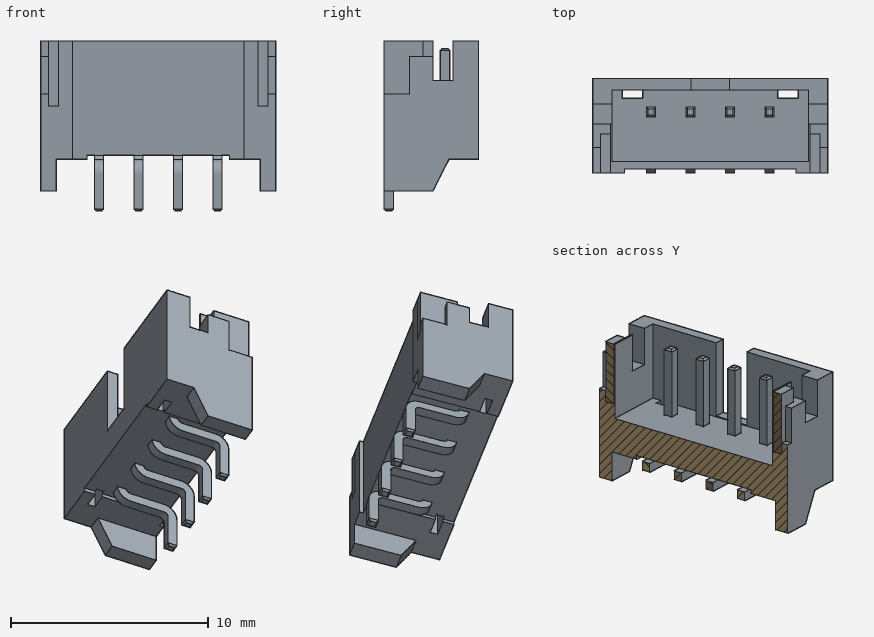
import cadquery as cq


LENGTH = 11.9
DEPTH = 4.8
LEG_HEIGHT = 1.6
BODY_HEIGHT = 6.01
TOP_Z = LEG_HEIGHT + BODY_HEIGHT

END_WALL = 0.99
SIDE_WALL = 0.6
CAVITY_DEPTH = 4.09
CAVITY_LENGTH = LENGTH - 2 * END_WALL
FLOOR_Z = TOP_Z - CAVITY_DEPTH

END_SLOT_SETBACK = 1.3
END_SLOT_WIDTH = 1.01
END_SLOT_DEPTH = 2.0
BACK_NOTCH_WIDTH = 1.93
BACK_NOTCH_DEPTH = 4.05
FRONT_RECESS_WIDTH = 8.68
FRONT_RECESS_DEPTH = 0.2
UNDERSIDE_GROOVE_WIDTH = 7.19
UNDERSIDE_GROOVE_DEPTH = 0.2

WINDOW_LENGTH = 1.02
WINDOW_WIDTH = 0.4
WINDOW_SPACING = 7.88

LEG_THICKNESS = 0.8
LEG_TOP_SETBACK = 1.51
LEG_BOTTOM_SETBACK = 2.31

TAB_INSET = 0.39
TAB_THICKNESS = 0.51
TAB_WIDTH = 1.98
TAB_HEIGHT = 3.3
LOW_STEP_WIDTH = 1.3
LOW_STEP_DEPTH = 2.7
HIGH_STEP_DEPTH = 0.79

PIN_COUNT = 4
PIN_PITCH = 2.0
PIN_WIDTH = 0.48
PIN_THICKNESS = 0.5
PIN_SETBACK = 1.7
PIN_TIP_DROP = 0.4
PIN_TAIL_DROP = 1.0
PIN_BEND_RADIUS = 0.75
PIN_END_CHAMFER = 0.1

CAVITY_BACK_Y = DEPTH - SIDE_WALL
END_SLOT_FRONT_Y = DEPTH - END_SLOT_SETBACK - END_SLOT_WIDTH
GROOVE_Z = LEG_HEIGHT + UNDERSIDE_GROOVE_DEPTH
PIN_BACK_Y = DEPTH - PIN_SETBACK + PIN_THICKNESS / 2


def block(x_range, y_range, z_range):
    """Box between pairs of X, Y and Z limits."""
    x0, x1 = x_range
    y0, y1 = y_range
    z0, z1 = z_range
    return cq.Workplane("XY").box(x1 - x0, y1 - y0, z1 - z0, centered=False).translate((x0, y0, z0))


def centred_block(length, y_range, z_range):
    """Box symmetric about the middle of the connector."""
    return block((-length / 2, length / 2), y_range, z_range)


def both_ends(left_shape):
    """The left-end shape together with its mirror image at the right end."""
    return left_shape, left_shape.mirror("YZ")


def inset_block(inset, thickness, y_range, z_range):
    """Box at the left end, starting a given distance in from the end face."""
    left = -LENGTH / 2 + inset
    return block((left, left + thickness), y_range, z_range)


def make_leg():
    """Left leg: a plate with a sloping back edge."""
    outline = [
        (0, 0),
        (DEPTH - LEG_BOTTOM_SETBACK, 0),
        (DEPTH - LEG_TOP_SETBACK, LEG_HEIGHT),
        (0, LEG_HEIGHT),
    ]
    leg = cq.Workplane("YZ").polyline(outline).close().extrude(LEG_THICKNESS)
    return leg.translate((-LENGTH / 2, 0, 0))


def make_tab():
    """Left tab: a flat plate standing in the end wall, flush with the front and the top."""
    return inset_block(TAB_INSET, TAB_THICKNESS, (0, TAB_WIDTH), (TOP_Z - TAB_HEIGHT, TOP_Z))


def make_tab_relief():
    """Material missing outside and behind the left tab, in two steps."""
    high_z = TOP_Z - HIGH_STEP_DEPTH
    low_z = TOP_Z - LOW_STEP_DEPTH
    behind_tab = inset_block(0, TAB_INSET + TAB_THICKNESS, (TAB_WIDTH, END_SLOT_FRONT_Y), (high_z, TOP_Z))
    high_step = inset_block(0, TAB_INSET, (0, TAB_WIDTH), (high_z, TOP_Z))
    low_step = inset_block(0, TAB_INSET, (0, LOW_STEP_WIDTH), (low_z, TOP_Z))
    return behind_tab.union(high_step).union(low_step)


def make_pin(x):
    """Bent pin: upright contact, run towards the front under the housing, then a tail going down."""
    tip_z = TOP_Z - PIN_TIP_DROP
    front_y = PIN_BACK_Y - PIN_THICKNESS
    run_top_z = LEG_HEIGHT
    run_bottom_z = run_top_z - PIN_THICKNESS
    outer = PIN_BEND_RADIUS
    inner = PIN_BEND_RADIUS - PIN_THICKNESS
    pin = (
        cq.Workplane("YZ")
        .moveTo(PIN_BACK_Y, tip_z)
        .lineTo(PIN_BACK_Y, run_bottom_z + outer)
        .radiusArc((PIN_BACK_Y - outer, run_bottom_z), outer)
        .lineTo(PIN_THICKNESS + inner, run_bottom_z)
        .radiusArc((PIN_THICKNESS, run_bottom_z - inner), -inner)
        .lineTo(PIN_THICKNESS, -PIN_TAIL_DROP)
        .lineTo(0, -PIN_TAIL_DROP)
        .lineTo(0, run_top_z - outer)
        .radiusArc((outer, run_top_z), outer)
        .lineTo(front_y - inner, run_top_z)
        .radiusArc((front_y, run_top_z + inner), -inner)
        .lineTo(front_y, tip_z)
        .close()
        .extrude(PIN_WIDTH / 2, both=True)
    )
    pin = pin.faces("<Z or >Z").chamfer(PIN_END_CHAMFER)
    return pin.translate((x, 0, 0))


def make_housing(tabs, pins):
    """Open-topped housing with legs, wall openings and seats for the tabs and pins."""
    housing = centred_block(LENGTH, (0, DEPTH), (LEG_HEIGHT, TOP_Z))
    for leg in both_ends(make_leg()):
        housing = housing.union(leg)

    housing = housing.cut(centred_block(CAVITY_LENGTH, (SIDE_WALL, CAVITY_BACK_Y), (FLOOR_Z, TOP_Z)))
    end_slot_y = (END_SLOT_FRONT_Y, DEPTH - END_SLOT_SETBACK)
    housing = housing.cut(centred_block(LENGTH, end_slot_y, (TOP_Z - END_SLOT_DEPTH, TOP_Z)))
    back_notch_z = (TOP_Z - BACK_NOTCH_DEPTH, TOP_Z)
    housing = housing.cut(centred_block(BACK_NOTCH_WIDTH, (CAVITY_BACK_Y, DEPTH), back_notch_z))

    housing = housing.cut(centred_block(FRONT_RECESS_WIDTH, (0, FRONT_RECESS_DEPTH), (LEG_HEIGHT, TOP_Z)))
    housing = housing.cut(centred_block(UNDERSIDE_GROOVE_WIDTH, (0, DEPTH), (LEG_HEIGHT, GROOVE_Z)))

    window_y = (CAVITY_BACK_Y - WINDOW_WIDTH, CAVITY_BACK_Y)
    window = centred_block(WINDOW_LENGTH, window_y, (LEG_HEIGHT, FLOOR_Z))
    for side in (-1, 1):
        housing = housing.cut(window.translate((side * WINDOW_SPACING / 2, 0, 0)))

    for relief in both_ends(make_tab_relief()):
        housing = housing.cut(relief)
    for insert in (*tabs, *pins):
        housing = housing.cut(insert)
    return housing


tabs = both_ends(make_tab())
pins = [make_pin((i - (PIN_COUNT - 1) / 2) * PIN_PITCH) for i in range(PIN_COUNT)]
housing = make_housing(tabs, pins)

result = cq.Compound.makeCompound([
    housing.val(),
    *[tab.val() for tab in tabs],
    *[pin.val() for pin in pins],
])